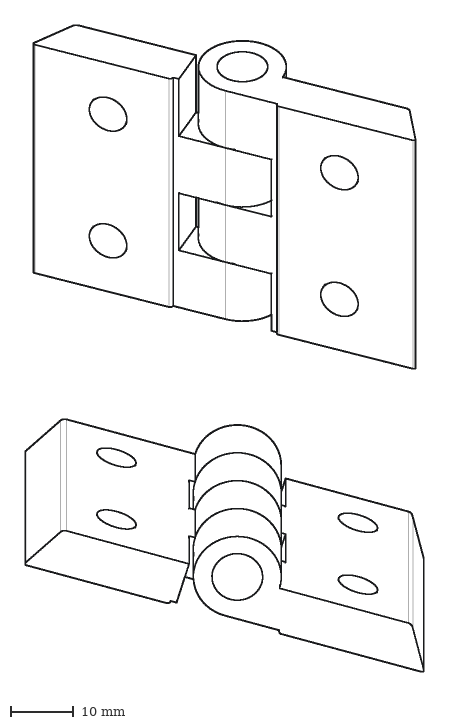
import cadquery as cq
import math


hinge_width = 66.0
hinge_height = 45.0
leaf_thickness = 7.5

knuckle_count = 4
knuckle_height = hinge_height / knuckle_count
barrel_radius = 7.0
pin_radius = 4.0
gap_wall_distance = 8.0

relief_depth = leaf_thickness - barrel_radius
relief_half_width = 9.5

bevel_angle = 30.0
bevel_front_radius = 0.3
bevel_back_radius = 1.0

hole_diameter = 6.5
hole_spacing_x = 40.0
hole_spacing_z = 24.95

front_y = -leaf_thickness
relief_y = front_y + relief_depth
bottom_z = -hinge_height / 2
bevel_width = leaf_thickness * math.tan(math.radians(bevel_angle))
corner_half_angle = math.radians((90 - bevel_angle) / 2)
rounding_loss = bevel_front_radius * (1 / math.tan(corner_half_angle) - 1)
corner_x = -hinge_width / 2 - rounding_loss


def make_plate():
    """Plate of the leaf on the -X side, with its bevel and the rounded step of the relief."""
    step_offset = relief_depth * math.sqrt(0.5)
    step_arc_middle = (-relief_half_width + step_offset, relief_y - step_offset)
    plate = (
        cq.Workplane("XY", origin=(0, 0, bottom_z))
        .moveTo(corner_x, front_y)
        .lineTo(-relief_half_width, front_y)
        .threePointArc(step_arc_middle, (-relief_half_width + relief_depth, relief_y))
        .lineTo(-gap_wall_distance, relief_y)
        .lineTo(-gap_wall_distance, 0)
        .lineTo(corner_x + bevel_width, 0)
        .close()
        .extrude(hinge_height)
    )
    bevel_front_edge = cq.selectors.NearestToPointSelector((corner_x, front_y, 0))
    plate = plate.edges(bevel_front_edge).fillet(bevel_front_radius)
    bevel_back_edge = cq.selectors.NearestToPointSelector((corner_x + bevel_width, 0, 0))
    return plate.edges(bevel_back_edge).fillet(bevel_back_radius)


def make_knuckle(index):
    """Barrel and the web joining it to the plate; knuckles count upward from the bottom."""
    base = cq.Workplane("XY", origin=(0, 0, bottom_z + index * knuckle_height))
    barrel = base.circle(barrel_radius).extrude(knuckle_height)
    web = (
        base.moveTo(-gap_wall_distance, relief_y)
        .lineTo(0, relief_y)
        .lineTo(0, 0)
        .lineTo(-gap_wall_distance, 0)
        .close()
        .extrude(knuckle_height)
    )
    return barrel.union(web)


def make_leaf():
    """Leaf on the -X side, carrying every second knuckle from the bottom one up."""
    leaf = make_plate()
    for index in range(0, knuckle_count, 2):
        leaf = leaf.union(make_knuckle(index))

    screw_holes = (
        cq.Workplane("XZ")
        .pushPoints([(-hole_spacing_x / 2, side * hole_spacing_z / 2) for side in (-1, 1)])
        .circle(hole_diameter / 2)
        .extrude(leaf_thickness)
    )
    return leaf.cut(make_pin()).cut(screw_holes)


def make_pin():
    """Plain pin, flush with both ends of the barrel; the leaf bores have the same shape."""
    return cq.Workplane("XY", origin=(0, 0, bottom_z)).circle(pin_radius).extrude(hinge_height)


leaves = [make_leaf().rotate((0, 0, 0), (0, 1, 0), turn) for turn in (0, 180)]
pin = make_pin()

result = cq.Compound.makeCompound([*[leaf.val() for leaf in leaves], pin.val()])